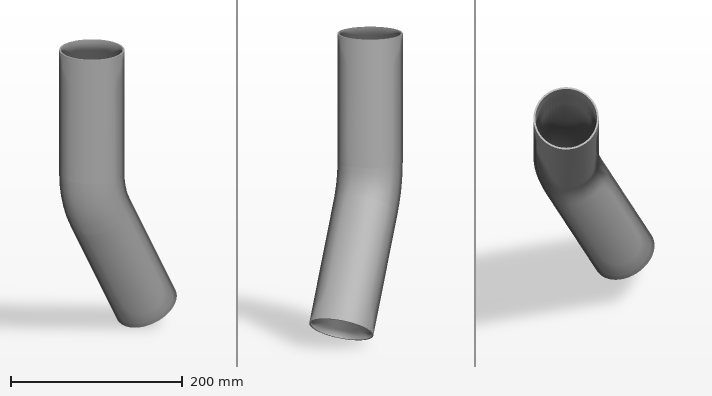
import cadquery as cq
import math

outer_diameter = 76.2
wall_thickness = 2.11
leg_length = 152.4
bend_radius = 101.6
bend_angle = 30.0

inner_diameter = outer_diameter - 2 * wall_thickness


def bend_point(angle_deg):
    """Centreline point (y, z) of the bend, starting at the origin and descending towards +Y."""
    angle = math.radians(angle_deg)
    return (bend_radius * (1 - math.cos(angle)), -bend_radius * math.sin(angle))


def centreline():
    """Path from the top of the upright leg, through the bend, to the end of the slanted leg."""
    slant = math.radians(bend_angle)
    bend_end = bend_point(bend_angle)
    leg_end = (
        bend_end[0] + leg_length * math.sin(slant),
        bend_end[1] - leg_length * math.cos(slant),
    )
    return (
        cq.Workplane("YZ")
        .moveTo(0, leg_length)
        .lineTo(0, 0)
        .threePointArc(bend_point(bend_angle / 2), bend_end)
        .lineTo(*leg_end)
    )


def bent_tube():
    """Ring section swept along the centreline, open at both square-cut ends."""
    ring = (
        cq.Workplane("XY", origin=(0, 0, leg_length))
        .circle(outer_diameter / 2)
        .circle(inner_diameter / 2)
    )
    return ring.sweep(centreline())


result = bent_tube()